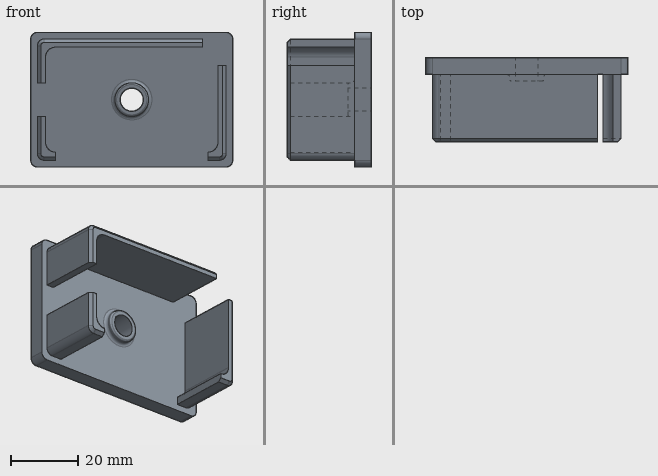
import cadquery as cq

PLATE_LENGTH = 60.0
PLATE_HEIGHT = 40.0
PLATE_THICKNESS = 5.0
CORNER_RADIUS = 2.0

PLATE_OVERHANG = 2.0
PLUG_LENGTH = PLATE_LENGTH - 2 * PLATE_OVERHANG
PLUG_HEIGHT = PLATE_HEIGHT - 2 * PLATE_OVERHANG
PLUG_DEPTH = 20.0
WALL_THICKNESS = 2.4
INNER_RADIUS = 3.0
LEAD_IN_CHAMFER = 1.0

LEFT_GAP_HALF_WIDTH = 5.0
TOP_WALL_END_X = 21.0
RIGHT_WALL_TOP_Z = 10.2
FOOT_LENGTH = WALL_THICKNESS + INNER_RADIUS

HOLE_DIAMETER = 6.8
BOSS_RADIUS = 5.0
BOSS_HEIGHT = 2.0
BOSS_ROOT_FILLET = 1.0
BOSS_RIM_FILLET = 0.5


def block(x_min, x_max, z_min, z_max, depth):
    """Box over an XZ rectangle, reaching from Y = 0 to Y = -depth."""
    return (
        cq.Workplane("XZ")
        .center((x_min + x_max) / 2, (z_min + z_max) / 2)
        .rect(x_max - x_min, z_max - z_min)
        .extrude(depth)
    )


def rounded_block(length, height, radius, depth):
    """Box centred on the Y axis with rounded corners, from Y = 0 to Y = -depth."""
    half_length = length / 2
    half_height = height / 2
    box = block(-half_length, half_length, -half_height, half_height, depth)
    return box.edges("|Y").fillet(radius)


def make_plate():
    return rounded_block(PLATE_LENGTH, PLATE_HEIGHT, CORNER_RADIUS, -PLATE_THICKNESS)


def make_plug_ring():
    """Complete wall ring with a lead-in chamfer around its free outer edge."""
    outer = rounded_block(PLUG_LENGTH, PLUG_HEIGHT, CORNER_RADIUS, PLUG_DEPTH)
    outer = outer.faces("<Y").chamfer(LEAD_IN_CHAMFER)
    cavity = rounded_block(
        PLUG_LENGTH - 2 * WALL_THICKNESS,
        PLUG_HEIGHT - 2 * WALL_THICKNESS,
        INNER_RADIUS,
        PLUG_DEPTH,
    )
    return outer.cut(cavity)


def make_plug_walls():
    """Wall ring with the left gap, the bottom opening and the top right opening removed."""
    half_length = PLUG_LENGTH / 2
    half_height = PLUG_HEIGHT / 2
    left_gap = block(-half_length, 0, -LEFT_GAP_HALF_WIDTH, LEFT_GAP_HALF_WIDTH, PLUG_DEPTH)
    foot_end_x = half_length - FOOT_LENGTH
    bottom_opening = block(-foot_end_x, foot_end_x, -half_height, 0, PLUG_DEPTH)
    top_right_opening = block(TOP_WALL_END_X, half_length, RIGHT_WALL_TOP_Z, half_height, PLUG_DEPTH)
    return make_plug_ring().cut(left_gap).cut(bottom_opening).cut(top_right_opening)


def make_boss():
    """Boss with a concave root fillet and a rounded rim, revolved about the Y axis."""
    diagonal = 0.5 ** 0.5
    root_radius = BOSS_RADIUS + BOSS_ROOT_FILLET
    root_arc_middle = (
        root_radius - BOSS_ROOT_FILLET * diagonal,
        -BOSS_ROOT_FILLET * (1 - diagonal),
    )
    rim_radius = BOSS_RADIUS - BOSS_RIM_FILLET
    rim_start_y = BOSS_RIM_FILLET - BOSS_HEIGHT
    rim_arc_middle = (
        rim_radius + BOSS_RIM_FILLET * diagonal,
        rim_start_y - BOSS_RIM_FILLET * diagonal,
    )
    return (
        cq.Workplane("XY")
        .lineTo(root_radius, 0)
        .threePointArc(root_arc_middle, (BOSS_RADIUS, -BOSS_ROOT_FILLET))
        .lineTo(BOSS_RADIUS, rim_start_y)
        .threePointArc(rim_arc_middle, (rim_radius, -BOSS_HEIGHT))
        .lineTo(0, -BOSS_HEIGHT)
        .close()
        .revolve(360, (0, 0), (0, 1))
    )


def make_screw_hole():
    """Cylinder through the plate and the boss."""
    return (
        cq.Workplane("XZ", origin=(0, PLATE_THICKNESS, 0))
        .circle(HOLE_DIAMETER / 2)
        .extrude(PLATE_THICKNESS + BOSS_HEIGHT)
    )


result = make_plate().union(make_plug_walls()).union(make_boss()).cut(make_screw_hole())